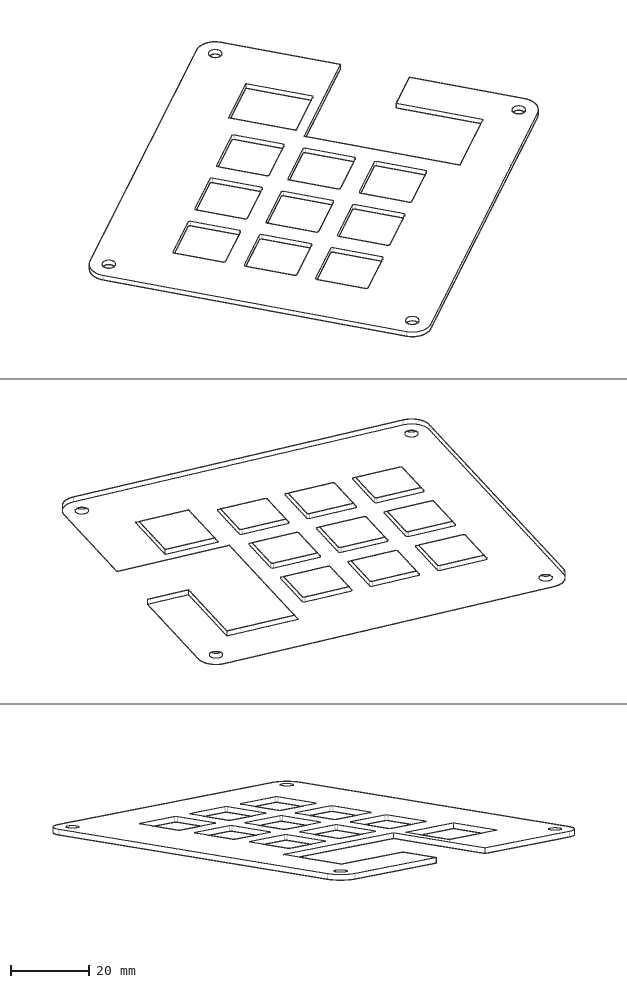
import cadquery as cq

PLATE_WIDTH = 91.14
PLATE_DEPTH = 102.97
PLATE_THICKNESS = 1.5
CORNER_RADIUS = 5.0

MOUNT_HOLE_DIAMETER = 3.4

KEY_SIZE = 14.0
KEY_PITCH = 19.05
KEY_COLUMNS = 3
KEY_ROWS = 3
KEY_CORNER_RADIUS = 0.5
KEY_GRID_CENTRE = (-0.33, -11.02)

WINDOW_WIDTH = 18.0
WINDOW_DEPTH = 15.0
WINDOW_CENTRE = (-20.35, 29.1)

NOTCH_LEFT = -8.6
NOTCH_MOUTH_WIDTH = 18.4
NOTCH_POCKET_WIDTH = 41.6
NOTCH_POCKET_DEPTH = 20.1
NOTCH_FRONT = 19.8


def make_plate():
    plate = cq.Workplane("XY").rect(PLATE_WIDTH, PLATE_DEPTH).extrude(PLATE_THICKNESS)
    return plate.edges("|Z").fillet(CORNER_RADIUS)


def make_mount_holes():
    spacing_x = PLATE_WIDTH - 2 * CORNER_RADIUS
    spacing_y = PLATE_DEPTH - 2 * CORNER_RADIUS
    corners = cq.Workplane("XY").rect(spacing_x, spacing_y, forConstruction=True).vertices()
    return corners.circle(MOUNT_HOLE_DIAMETER / 2).extrude(PLATE_THICKNESS)


def make_key_openings():
    grid = (
        cq.Workplane("XY")
        .center(*KEY_GRID_CENTRE)
        .rarray(KEY_PITCH, KEY_PITCH, KEY_COLUMNS, KEY_ROWS)
    )
    openings = grid.rect(KEY_SIZE, KEY_SIZE).extrude(PLATE_THICKNESS)
    return openings.edges("|Z").fillet(KEY_CORNER_RADIUS)


def make_window():
    base = cq.Workplane("XY").center(*WINDOW_CENTRE)
    return base.rect(WINDOW_WIDTH, WINDOW_DEPTH).extrude(PLATE_THICKNESS)


def make_notch():
    rear_edge = PLATE_DEPTH / 2
    mouth_right = NOTCH_LEFT + NOTCH_MOUTH_WIDTH
    pocket_right = NOTCH_LEFT + NOTCH_POCKET_WIDTH
    pocket_rear = NOTCH_FRONT + NOTCH_POCKET_DEPTH
    outline = [
        (NOTCH_LEFT, NOTCH_FRONT),
        (pocket_right, NOTCH_FRONT),
        (pocket_right, pocket_rear),
        (mouth_right, pocket_rear),
        (mouth_right, rear_edge),
        (NOTCH_LEFT, rear_edge),
    ]
    return cq.Workplane("XY").polyline(outline).close().extrude(PLATE_THICKNESS)


result = (
    make_plate()
    .cut(make_mount_holes())
    .cut(make_key_openings())
    .cut(make_window())
    .cut(make_notch())
)